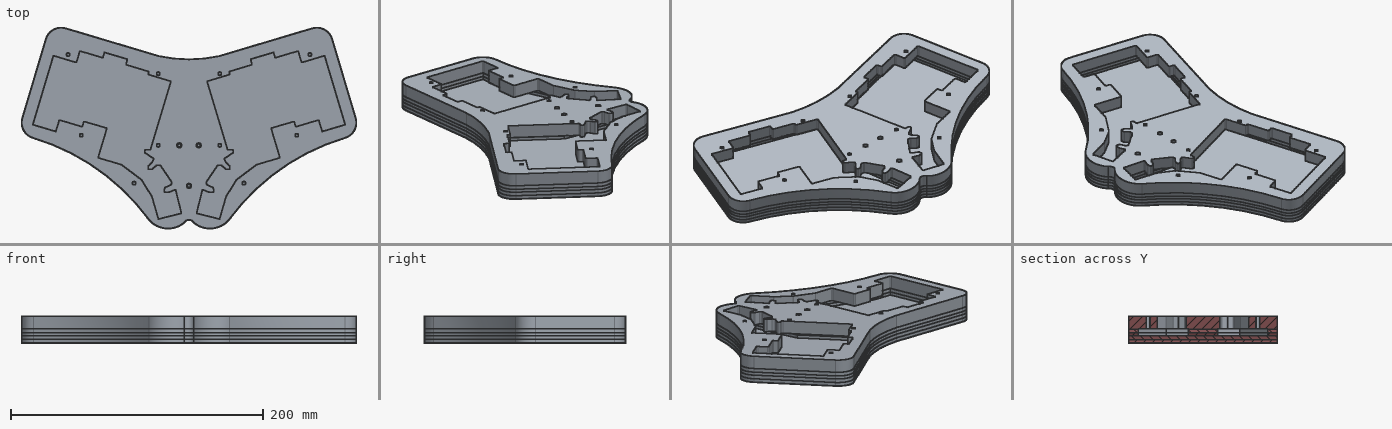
import cadquery as cq
import math


total_height = 21.5
top_thickness = 10.0
thin_thickness = 2.5
sheet_thickness = (total_height - top_thickness - thin_thickness) / 3

wing_angle = math.radians(16.6)
wing_end_u = -129.1
wing_back_v = 48.0
corner_radius = 12.8
front_corner_v = -30.0
back_blend_u = -39.3
back_middle = (0, 54.7)
thumb_start = (-32.0, -72.5)
thumb_low = (-16.7, -79.7)
thumb_end = (-3.7, -75.0)
notch_middle = (0, -72.8)

column_block = 57.0
key_pitch = column_block / 3
pocket_left_u = -119.5
column_backs = [24.5, 34.0, 38.5, 34.0, 31.5]
full_columns = 3
thumb_outer_v = -43.0
thumb_inner_corner = (13.5, -66.5)
thumb_outer_corner = (-2.7, -76.0)
thumb_outer_edge = [thumb_outer_corner, (-12.8, -60.3), (-24.5, -50.0), (-43.0, thumb_outer_v)]
thumb_inner_edge = [
    (-24.5, -25.2), (-28.7, -26.3), (-28.0, -28.7), (-20.0, -31.0), (-20.2, -34.0), (-22.3, -37.7),
    (-21.8, -40.7), (-18.9, -39.5), (-16.2, -35.3), (-13.5, -34.5), (-0.5, -45.2), (-1.0, -47.3),
    (-5.0, -50.8), (-4.5, -54.2), (-1.0, -53.5), (3.7, -49.7),
]
pocket_corner_radius = 0.8

frame_overhang = 7.2
thumb_margin = 4.3
frame_thumb_bend = (-42.5, -51.8)

screw_diameter = 2.7
clearance_diameter = 3.7
side_screws = [(96.0, 58.5), (24.5, 43.3), (85.5, -5.5), (24.5, -13.5), (43.5, -43.5)]
screw_points = [(side * x, y) for x, y in side_screws for side in (-1, 1)]
clearance_points = [(-7.7, -13.5), (7.7, -13.5), (0, -45.7)]


def from_wing(u, v):
    """Turn left-wing coordinates into X and Y."""
    cos_a = math.cos(wing_angle)
    sin_a = math.sin(wing_angle)
    return (u * cos_a + v * sin_a, v * cos_a - u * sin_a)


def to_wing(x, y):
    """Turn X and Y into left-wing coordinates."""
    cos_a = math.cos(wing_angle)
    sin_a = math.sin(wing_angle)
    return (x * cos_a - y * sin_a, x * sin_a + y * cos_a)


def mirrored(point):
    """The same point on the other half of the case."""
    return (-point[0], point[1])


def round_point(center_u, center_v, degrees):
    """A point on an outer corner's round, in X and Y."""
    angle = math.radians(degrees)
    return from_wing(center_u + corner_radius * math.cos(angle), center_v + corner_radius * math.sin(angle))


def flank_middle(start, end):
    """Middle of the front edge's arc, which leaves its start parallel to u."""
    run = end[0] - start[0]
    drop = start[1] - end[1]
    radius = (run**2 + drop**2) / (2 * drop)
    half_turn = math.atan2(drop, run)
    return (start[0] + radius * math.sin(half_turn), start[1] - radius * (1 - math.cos(half_turn)))


def plate(bottom, thickness):
    """A solid plate with the full outer outline."""
    center_u = wing_end_u + corner_radius
    back_v = wing_back_v - corner_radius
    back_start = from_wing(back_blend_u, wing_back_v)
    back_round = [round_point(center_u, back_v, a) for a in (90, 135, 180)]
    front_round = [round_point(center_u, front_corner_v, a) for a in (180, 225, 270)]
    flank_start = (center_u, front_corner_v - corner_radius)
    flank = from_wing(*flank_middle(flank_start, to_wing(*thumb_start)))
    return (
        cq.Workplane("XY", origin=(0, 0, bottom))
        .moveTo(*mirrored(back_start))
        .threePointArc(back_middle, back_start)
        .lineTo(*back_round[0])
        .threePointArc(back_round[1], back_round[2])
        .lineTo(*front_round[0])
        .threePointArc(front_round[1], front_round[2])
        .threePointArc(flank, thumb_start)
        .threePointArc(thumb_low, thumb_end)
        .threePointArc(notch_middle, mirrored(thumb_end))
        .threePointArc(mirrored(thumb_low), mirrored(thumb_start))
        .threePointArc(mirrored(flank), mirrored(front_round[2]))
        .threePointArc(mirrored(front_round[1]), mirrored(front_round[0]))
        .lineTo(*mirrored(back_round[2]))
        .threePointArc(mirrored(back_round[1]), mirrored(back_round[0]))
        .close()
        .extrude(thickness)
    )


def key_pocket_points():
    """The pocket's outline in wing coordinates, clockwise from its outer back corner."""
    points = []
    for column, back in enumerate(column_backs):
        left = pocket_left_u + column * key_pitch
        points += [(left, back), (left + key_pitch, back)]
    points += thumb_inner_edge + [thumb_inner_corner] + thumb_outer_edge
    for column in reversed(range(full_columns)):
        left = pocket_left_u + column * key_pitch
        front = column_backs[column] - column_block
        if column == full_columns - 1:
            points.append((left + key_pitch, thumb_outer_v))
        points += [(left + key_pitch, front), (left, front)]
    return points


def frame_opening_points():
    """The wider opening's outline: straight sides that clear every column and thumb key."""
    back = max(column_backs)
    front = column_backs[0] - column_block
    right = pocket_left_u + len(column_backs) * key_pitch + frame_overhang
    inner = thumb_inner_corner
    outer = thumb_outer_corner
    edge_top = thumb_inner_edge[-1]
    inner_slope = (edge_top[1] - inner[1]) / (edge_top[0] - inner[0])
    end_slope = (inner[1] - outer[1]) / (inner[0] - outer[0])
    return [
        (pocket_left_u, back),
        (right, back),
        (right, inner[1] + inner_slope * (right - inner[0])),
        inner,
        (outer[0] - thumb_margin, outer[1] - end_slope * thumb_margin),
        frame_thumb_bend,
        (pocket_left_u + key_pitch, front),
        (pocket_left_u, front),
    ]


def prism_pair(wing_points, bottom, height, radius=0):
    """The same cutting shape in both wings, its upright edges rounded if a radius is given."""
    points = [from_wing(u, v) for u, v in wing_points]
    left = cq.Workplane("XY", origin=(0, 0, bottom)).polyline(points).close().extrude(height)
    if radius:
        left = left.edges("|Z").fillet(radius)
    return left, left.mirror("YZ")


def hole_cutters(points, diameter, bottom, height):
    """Upright cylinders that cut round holes."""
    return cq.Workplane("XY", origin=(0, 0, bottom)).pushPoints(points).circle(diameter / 2).extrude(height)


def frame(bottom, thickness):
    """A plate with both wide openings and the narrow ends of the three middle holes."""
    body = plate(bottom, thickness)
    for opening in prism_pair(frame_opening_points(), bottom, thickness):
        body = body.cut(opening)
    return body.cut(hole_cutters(clearance_points, screw_diameter, bottom, thickness))


def top_case(bottom):
    """The thick top plate with both key pockets and all screw holes."""
    body = plate(bottom, top_thickness)
    for pocket in prism_pair(key_pocket_points(), bottom, top_thickness, pocket_corner_radius):
        body = body.cut(pocket)
    body = body.cut(hole_cutters(screw_points, screw_diameter, bottom, top_thickness))
    return body.cut(hole_cutters(clearance_points, clearance_diameter, bottom, top_thickness))


floor_bottom = sheet_thickness
thin_bottom = floor_bottom + sheet_thickness
thick_bottom = thin_bottom + thin_thickness
top_bottom = thick_bottom + sheet_thickness

base_plate = plate(0, sheet_thickness)
floor_plate = plate(floor_bottom, sheet_thickness)
thin_frame = frame(thin_bottom, thin_thickness)
thick_frame = frame(thick_bottom, sheet_thickness)
top = top_case(top_bottom)

result = cq.Compound.makeCompound(
    [base_plate.val(), floor_plate.val(), thin_frame.val(), thick_frame.val(), top.val()]
)